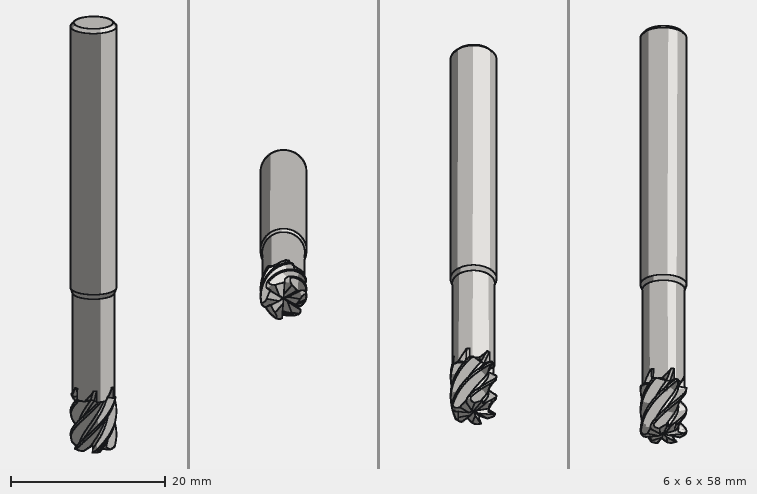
import cadquery as cq
import math

total_length = 58.0
tool_radius = 3.0

shank_start = 21.8
taper_length = 0.7
neck_radius = 2.75
back_chamfer_height = 0.5
back_chamfer_width = 0.45

head_length = 7.0
flute_count = 6
helix_angle = 45.0
corner_radius = 0.75
head_top_edge_angle = -110.0
tooth_step = 360.0 / flute_count
helix_pitch = 2 * math.pi * tool_radius / math.tan(math.radians(helix_angle))
head_twist = 360.0 * head_length / helix_pitch
head_bottom_edge_angle = head_top_edge_angle - head_twist

land_end_radius = 2.93
land_end_angle = 8.0
root_radius = 1.95
root_start_angle = 38.0
root_end_angle = 53.0

runout_height = 1.5
runout_back_angle = -40.0
runout_tip_back_angle = -11.0
runout_tip_wall_angle = -2.0
runout_tip_depth = 0.1
runout_outer_radius = 3.2

gash_outer_depth = 1.2
gash_outer_width = 1.7
gash_inner_depth = 0.3
gash_inner_width = 0.4


def polar(radius, angle):
    """Point in the XY plane at an angle given in degrees."""
    return (radius * math.cos(math.radians(angle)), radius * math.sin(math.radians(angle)))


def tooth_angles(first_angle):
    return [first_angle + tooth_step * i for i in range(flute_count)]


def fluted_section():
    """Closed outline of the teeth at the cutting end."""
    section = cq.Workplane("XY").moveTo(*polar(tool_radius, head_bottom_edge_angle))
    root_middle_angle = (root_start_angle + root_end_angle) / 2
    for edge in tooth_angles(head_bottom_edge_angle):
        section = (
            section.lineTo(*polar(land_end_radius, edge + land_end_angle))
            .lineTo(*polar(root_radius, edge + root_start_angle))
            .threePointArc(
                polar(root_radius, edge + root_middle_angle),
                polar(root_radius, edge + root_end_angle),
            )
            .lineTo(*polar(tool_radius, edge + tooth_step))
        )
    return section.close()


def rounded_blank():
    """Turned envelope of the head, with a corner radius at the cutting end."""
    corner_centre_radius = tool_radius - corner_radius
    diagonal = corner_radius * math.sqrt(0.5)
    return (
        cq.Workplane("XZ")
        .lineTo(corner_centre_radius, 0)
        .threePointArc(
            (corner_centre_radius + diagonal, corner_radius - diagonal),
            (tool_radius, corner_radius),
        )
        .lineTo(tool_radius, head_length)
        .lineTo(0, head_length)
        .close()
        .revolve(360, (0, 0, 0), (0, 1, 0))
    )


def end_gash(edge_angle):
    """V notch that widens and deepens outward from the axis, its steep wall along the tooth edge."""
    return (
        cq.Workplane("YZ")
        .polyline([(0, 0), (0, gash_inner_depth), (-gash_inner_width, 0)])
        .close()
        .workplane(offset=tool_radius)
        .polyline([(0, 0), (0, gash_outer_depth), (-gash_outer_width, 0)])
        .close()
        .loft(ruled=True)
        .rotate((0, 0, 0), (0, 0, 1), edge_angle)
    )


def make_cutting_head():
    teeth = fluted_section().twistExtrude(head_length, head_twist)
    head = teeth.intersect(rounded_blank())
    for edge in tooth_angles(head_bottom_edge_angle):
        head = head.cut(end_gash(edge))
    return head


def flute_runout(edge_angle):
    """Flute end that narrows upward against a steep wall in line with the tooth edge."""
    tip_floor_radius = neck_radius - runout_tip_depth
    return (
        cq.Workplane("XY", origin=(0, 0, head_length))
        .polyline([
            polar(runout_outer_radius, edge_angle),
            polar(root_radius, edge_angle + root_end_angle - tooth_step),
            polar(root_radius, edge_angle + root_start_angle - tooth_step),
            polar(runout_outer_radius, edge_angle + runout_back_angle),
        ])
        .close()
        .workplane(offset=runout_height)
        .polyline([
            polar(runout_outer_radius, edge_angle),
            polar(tip_floor_radius, edge_angle + runout_tip_wall_angle),
            polar(tip_floor_radius, edge_angle + runout_tip_back_angle),
            polar(runout_outer_radius, edge_angle + runout_tip_back_angle),
        ])
        .close()
        .loft(ruled=True)
    )


def make_shank():
    shank = (
        cq.Workplane("XZ")
        .moveTo(0, head_length)
        .lineTo(neck_radius, head_length)
        .lineTo(neck_radius, shank_start - taper_length)
        .lineTo(tool_radius, shank_start)
        .lineTo(tool_radius, total_length - back_chamfer_height)
        .lineTo(tool_radius - back_chamfer_width, total_length)
        .lineTo(0, total_length)
        .close()
        .revolve(360, (0, 0, 0), (0, 1, 0))
    )
    for edge in tooth_angles(head_top_edge_angle):
        shank = shank.cut(flute_runout(edge))
    return shank


cutting_head = make_cutting_head()
shank = make_shank()
result = cq.Compound.makeCompound([cutting_head.solids().val(), shank.solids().val()])